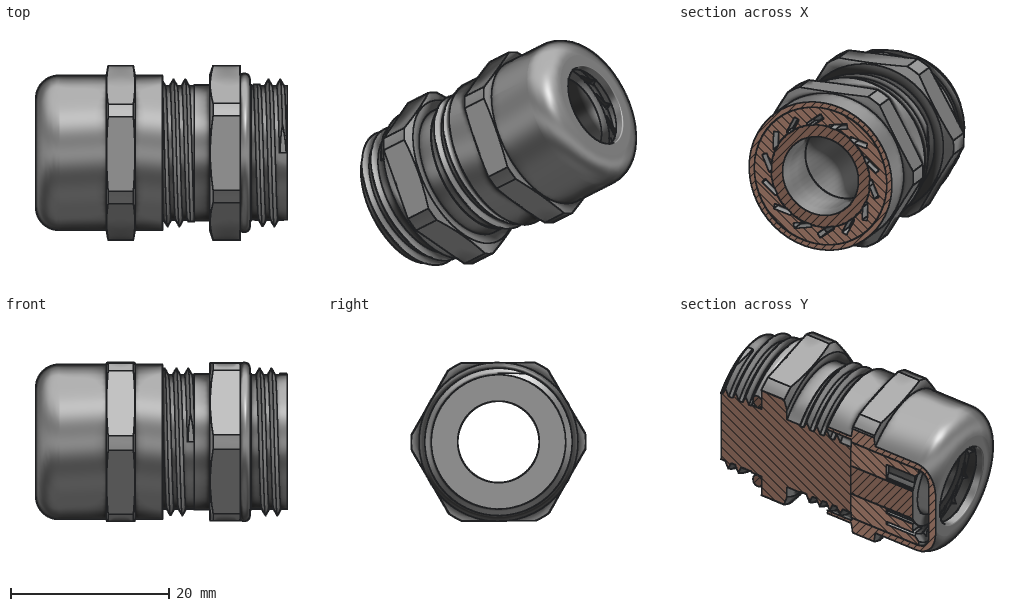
import cadquery as cq
import math

TOTAL_LENGTH = 31.85

HEX_FLATS = 20.0
HEX_CORNERS = 22.1
HEX_SIDES = 6

CAP_DIAMETER = 19.65
CAP_LENGTH = 16.1
CAP_EDGE_RADIUS = 3.0
CAP_ENTRY_DIAMETER = 10.57
CAP_ENTRY_ROUND = 0.15
CAP_LIP_DEPTH = 1.08
CAP_DOME_RADIUS = 1.45
CAP_MOUTH_CHAMFER = 0.1
CAP_HEX_START = 8.95
CAP_HEX_LENGTH = 3.63
CAP_HEX_CHAMFER = 0.22
CAP_HEX_TILT = 0.8
CAP_HEX_END = CAP_HEX_START + CAP_HEX_LENGTH

HEX_CONE_DIAMETER = CAP_DIAMETER

CLAW_DIAMETER = 18.1
CLAW_FLOOR_DIAMETER = 15.6
CLAW_RIM_DIAMETER = 17.2
CLAW_CUP_DEPTH = 0.9
CLAW_SLOT_COUNT = 14
CLAW_SLOT_WIDTH = 0.65
CLAW_SLOT_LENGTH = 2.35
CLAW_SLOT_DEPTH = 4.78
CLAW_SLOT_CENTRE = 7.25
CLAW_SLOT_LEAN = 59.0
CLAW_SLOT_PHASE = 7.0
SEAL_DIAMETER = 13.47
SEAL_BORE = 10.35
CLAW_START = CAP_LIP_DEPTH + CAP_DOME_RADIUS
SEAL_START = CLAW_START + CLAW_CUP_DEPTH

BODY_START = CAP_HEX_END
BODY_BORE = 10.3
ROOT_DIAMETER = 17.0
COLLAR_DIAMETER = 17.23
COLLAR_START = 20.1
BODY_HEX_START = 22.05
BODY_HEX_END = 25.85
BODY_HEX_CHAMFER = 0.4
RELIEF_END = 27.3

PITCH = 1.5
CREST_DIAMETER = 18.65
THREAD_CLEARANCE = 0.05
RIDGE_WIDTH = 0.95
RIDGE_SINK = 0.03
REAR_THREAD_END = 19.68
REAR_THREAD_TURNS = 4.0
REAR_THREAD_START = REAR_THREAD_END - REAR_THREAD_TURNS * PITCH
FRONT_THREAD_START = 27.95
FRONT_THREAD_TURNS = 2.25
RUNOUT_MARGIN = 0.32
RUNOUT_FLATS = [(0.0, 8.7), (1.72, 8.7), (4.15, 8.6)]

RING_CENTRE_X = 26.4
RING_OUTER_DIAMETER = 20.13
CORD_RADIUS = (RING_OUTER_DIAMETER - COLLAR_DIAMETER) / 4


def cylinder(start, end, diameter):
    """Solid cylinder on the X axis between two X positions."""
    return cq.Workplane("YZ", origin=(start, 0, 0)).circle(diameter / 2).extrude(end - start)


def hexagon(start, end, round_diameter, chamfers):
    """Hexagon with its corners on Y, turned down to HEX_CORNERS.

    Each end is coned from HEX_CORNERS to `round_diameter` over its length in `chamfers`; 0 keeps it flat.
    """
    across_corners = HEX_FLATS / math.cos(math.pi / HEX_SIDES)
    prism = cq.Workplane("YZ", origin=(start, 0, 0)).polygon(HEX_SIDES, across_corners).extrude(end - start)
    first, last = chamfers
    outline = [(start, 0), (start, HEX_CORNERS / 2), (end, HEX_CORNERS / 2), (end, 0)]
    if last:
        outline[2:3] = [(end - last, HEX_CORNERS / 2), (end, round_diameter / 2)]
    if first:
        outline[1:2] = [(start, round_diameter / 2), (start + first, HEX_CORNERS / 2)]
    turned = cq.Workplane("XY").polyline(outline).close().revolve(360, (0, 0, 0), (1, 0, 0))
    return prism.intersect(turned)


def runout_cutter(plane, direction):
    """Material removed above the flats at a thread end; the ridge lies on the `direction` side in local Y."""
    top = CREST_DIAMETER / 2 + RUNOUT_MARGIN
    far = RUNOUT_FLATS[-1][0]
    points = [(height, direction * distance) for distance, height in RUNOUT_FLATS]
    points += [(top, direction * far), (top, 0)]
    return cq.Workplane(plane).polyline(points).close().extrude(PITCH / 2, both=True)


def thread_ridge(start, turns, start_direction):
    """Right-handed triangular ridge whose crest begins at X = `start` on the given radial direction."""
    root = ROOT_DIAMETER / 2
    crest = CREST_DIAMETER / 2
    half_base = RIDGE_WIDTH / 2 * (crest - root + RIDGE_SINK) / (crest - root)
    length = turns * PITCH
    helix = cq.Workplane(cq.Wire.makeHelix(PITCH, length, root))
    profile = cq.Workplane("XZ").polyline(
        [(root - RIDGE_SINK, -half_base), (crest, 0), (root - RIDGE_SINK, half_base)]
    ).close()
    ridge = profile.sweep(helix, isFrenet=True)

    turn_angle = 2 * math.pi * turns
    end_direction = (math.cos(turn_angle), math.sin(turn_angle), 0)
    start_plane = cq.Plane(origin=(0, 0, 0), xDir=(1, 0, 0), normal=(0, 0, 1))
    end_plane = cq.Plane(origin=(0, 0, length), xDir=end_direction, normal=(0, 0, 1))
    ridge = ridge.cut(runout_cutter(start_plane, 1)).cut(runout_cutter(end_plane, -1))

    placement = cq.Plane(origin=(start, 0, 0), xDir=start_direction, normal=(1, 0, 0))
    return ridge.val().moved(cq.Location(placement))


def make_cap():
    cap = cylinder(0, CAP_LENGTH, CAP_DIAMETER)
    cap = cap.faces("<X").edges().fillet(CAP_EDGE_RADIUS)
    cap = cap.faces(">X").edges().chamfer(CAP_MOUTH_CHAMFER)
    cap_hex = hexagon(CAP_HEX_START, CAP_HEX_END, HEX_CONE_DIAMETER, (CAP_HEX_CHAMFER, CAP_HEX_CHAMFER))
    cap = cap.union(cap_hex.rotate((0, 0, 0), (1, 0, 0), CAP_HEX_TILT))

    entry = CAP_ENTRY_DIAMETER / 2
    claw = CLAW_DIAMETER / 2
    mouth = CREST_DIAMETER / 2 + THREAD_CLEARANCE
    diagonal = math.sqrt(0.5)
    entry_arc = (CAP_ENTRY_ROUND * (1 - diagonal), entry + CAP_ENTRY_ROUND * (1 - diagonal))
    dome_arc = (
        CLAW_START - CAP_DOME_RADIUS * diagonal,
        claw - CAP_DOME_RADIUS * (1 - diagonal),
    )
    cavity = (
        cq.Workplane("XY")
        .lineTo(0, entry + CAP_ENTRY_ROUND)
        .threePointArc(entry_arc, (CAP_ENTRY_ROUND, entry))
        .lineTo(CAP_LIP_DEPTH, entry)
        .lineTo(CAP_LIP_DEPTH, claw - CAP_DOME_RADIUS)
        .threePointArc(dome_arc, (CLAW_START, claw))
        .lineTo(BODY_START, claw)
        .lineTo(BODY_START, mouth)
        .lineTo(CAP_LENGTH, mouth)
        .lineTo(CAP_LENGTH, 0)
        .close()
        .revolve(360, (0, 0, 0), (1, 0, 0))
    )
    return cap.cut(cavity)


def make_body():
    body = cylinder(BODY_START, TOTAL_LENGTH, ROOT_DIAMETER)
    body = body.union(thread_ridge(REAR_THREAD_START, REAR_THREAD_TURNS, (0, -1, 0)))
    body = body.union(thread_ridge(FRONT_THREAD_START, FRONT_THREAD_TURNS, (0, 1, 0)))
    body = body.union(cylinder(COLLAR_START, RELIEF_END, COLLAR_DIAMETER))
    body = body.union(hexagon(BODY_HEX_START, BODY_HEX_END, HEX_CONE_DIAMETER, (BODY_HEX_CHAMFER, 0)))
    return body.cut(cylinder(BODY_START, TOTAL_LENGTH, BODY_BORE))


def make_oring():
    """Round cord on the relief collar, pressed flat against the hexagon."""
    cord_centre = COLLAR_DIAMETER / 2 + CORD_RADIUS
    ring = (
        cq.Workplane("XY")
        .center(RING_CENTRE_X, cord_centre)
        .circle(CORD_RADIUS)
        .revolve(360, (0, -cord_centre, 0), (1, -cord_centre, 0))
    )
    return ring.cut(cylinder(BODY_HEX_START, BODY_HEX_END, HEX_CORNERS))


def make_claw():
    """Ring around the seal; a conical cup in its front leads to a floor with leaning slots."""
    claw = cylinder(CLAW_START, BODY_START, CLAW_DIAMETER)
    cup = (
        cq.Workplane("YZ", origin=(CLAW_START, 0, 0))
        .circle(CLAW_RIM_DIAMETER / 2)
        .workplane(offset=CLAW_CUP_DEPTH)
        .circle(CLAW_FLOOR_DIAMETER / 2)
        .loft(ruled=True)
    )
    claw = claw.cut(cup)
    claw = claw.cut(cylinder(SEAL_START, BODY_START, SEAL_DIAMETER))
    slot = (
        cq.Workplane("YZ", origin=(CLAW_START, 0, 0))
        .rect(CLAW_SLOT_LENGTH, CLAW_SLOT_WIDTH)
        .extrude(CLAW_SLOT_DEPTH)
        .rotate((0, 0, 0), (1, 0, 0), CLAW_SLOT_LEAN)
        .translate((0, CLAW_SLOT_CENTRE, 0))
    )
    for index in range(CLAW_SLOT_COUNT):
        angle = CLAW_SLOT_PHASE + index * 360 / CLAW_SLOT_COUNT
        claw = claw.cut(slot.rotate((0, 0, 0), (1, 0, 0), angle))
    return claw


def make_seal():
    seal = cylinder(SEAL_START, BODY_START, SEAL_DIAMETER)
    return seal.cut(cylinder(SEAL_START, BODY_START, SEAL_BORE))


cap = make_cap()
body = make_body()
oring = make_oring()
claw = make_claw()
seal = make_seal()

result = cq.Compound.makeCompound([cap.val(), body.val(), oring.val(), claw.val(), seal.val()])